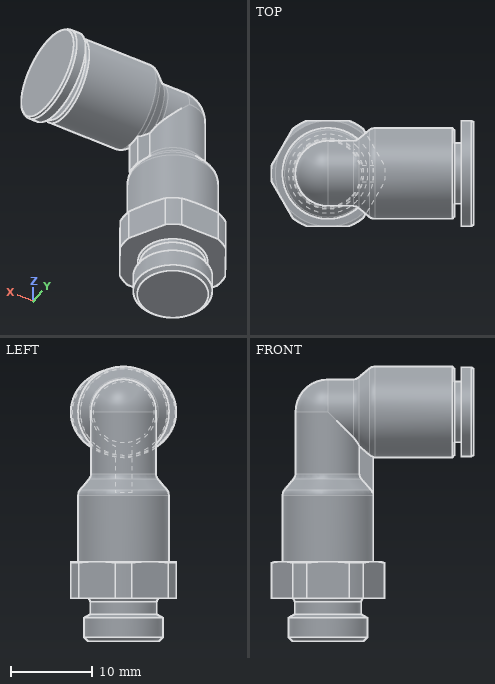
import cadquery as cq
import math


body_radius = 5.6
neck_radius = 4.0
cone_length = 1.88
blend_radius = 1.0
total_height = 33.8
elbow_height = total_height - body_radius

stud_radius = 4.87
stud_tip_chamfer = 0.5
stud_shoulder_bottom = 2.9
stud_shoulder_top = 3.35
undercut_radius = 4.1
flare_bottom = 4.9
flare_radius = 4.3

hex_across_flats = 13.0
hex_corner_radius = 7.0
hex_bottom = 5.3
hex_top = 9.8
hex_chamfer_width = 0.5
hex_chamfer_height = 0.15

vertical_cone_bottom = 18.36
horizontal_cone_start = 3.48
socket_end = 15.58
socket_chamfer = 0.3

collet_neck_radius = 3.75
collet_start = 16.36
collet_end = 17.95
collet_half_width = 6.5
collet_half_height = 5.5
collet_chamfer_length = 0.35
collet_chamfer_depth = 0.2

web_thickness = 2.0


def revolve_about_z(profile):
    """Revolve a closed (radius, height) outline around the Z axis."""
    return cq.Workplane("XZ").polyline(profile).close().revolve(360, (0, 0, 0), (0, 1, 0))


def make_leg(cone_start, end):
    """Leg running up +Z from the elbow centre: neck, blended cone and wide body."""
    cone_end = cone_start + cone_length
    leg = revolve_about_z([
        (0, 0),
        (neck_radius, 0),
        (neck_radius, cone_start),
        (body_radius, cone_end),
        (body_radius, end),
        (0, end),
    ])
    reach = 2 * body_radius
    cone_rims = cq.selectors.BoxSelector(
        (-reach, -reach, cone_start - cone_length / 2),
        (reach, reach, cone_end + cone_length / 2),
    )
    rims = leg.edges("%CIRCLE").edges(cone_rims)
    return rims.fillet(blend_radius)


def make_vertical_leg():
    cone_start = elbow_height - vertical_cone_bottom - cone_length
    leg = make_leg(cone_start, elbow_height - hex_top)
    return leg.rotate((0, 0, 0), (1, 0, 0), 180).translate((0, 0, elbow_height))


def make_horizontal_leg():
    leg = make_leg(horizontal_cone_start, socket_end).faces(">Z").chamfer(socket_chamfer)
    return leg.rotate((0, 0, 0), (0, 1, 0), 90).translate((0, 0, elbow_height))


def make_elbow_ball():
    return cq.Workplane("XY").sphere(neck_radius).translate((0, 0, elbow_height))


def make_web():
    """Thin plate closing the inner corner, flush with the vertical body."""
    height = elbow_height - vertical_cone_bottom
    return (
        cq.Workplane("XY", origin=(0, 0, vertical_cone_bottom))
        .box(body_radius, web_thickness, height, centered=(False, True, False))
    )


def make_hexagon():
    """Hexagon with rounded corners and a shallow conical chamfer on top."""
    across_corners = hex_across_flats / math.cos(math.pi / 6)
    prism = (
        cq.Workplane("XY", origin=(0, 0, hex_bottom))
        .polygon(6, across_corners)
        .extrude(hex_top - hex_bottom)
    )
    envelope = revolve_about_z([
        (0, hex_bottom),
        (hex_corner_radius, hex_bottom),
        (hex_corner_radius, hex_top - hex_chamfer_height),
        (hex_corner_radius - hex_chamfer_width, hex_top),
        (0, hex_top),
    ])
    return prism.intersect(envelope)


def make_stud():
    return revolve_about_z([
        (0, 0),
        (stud_radius - stud_tip_chamfer, 0),
        (stud_radius, stud_tip_chamfer),
        (stud_radius, stud_shoulder_bottom),
        (undercut_radius, stud_shoulder_top),
        (undercut_radius, flare_bottom),
        (flare_radius, hex_bottom),
        (0, hex_bottom),
    ])


def make_collet():
    """Round neck carrying an oval release disc, wider along Y than along Z."""
    neck = (
        cq.Workplane("YZ", origin=(socket_end, 0, elbow_height))
        .circle(collet_neck_radius)
        .extrude(collet_start - socket_end)
    )
    disc = (
        cq.Workplane("YZ", origin=(collet_start, 0, elbow_height))
        .ellipse(collet_half_width, collet_half_height)
        .extrude(collet_end - collet_start)
        .faces(">X")
        .chamfer(collet_chamfer_length, collet_chamfer_depth)
    )
    return neck.union(disc)


result = (
    make_vertical_leg()
    .union(make_horizontal_leg())
    .union(make_elbow_ball())
    .union(make_web())
    .union(make_hexagon())
    .union(make_stud())
    .union(make_collet())
)